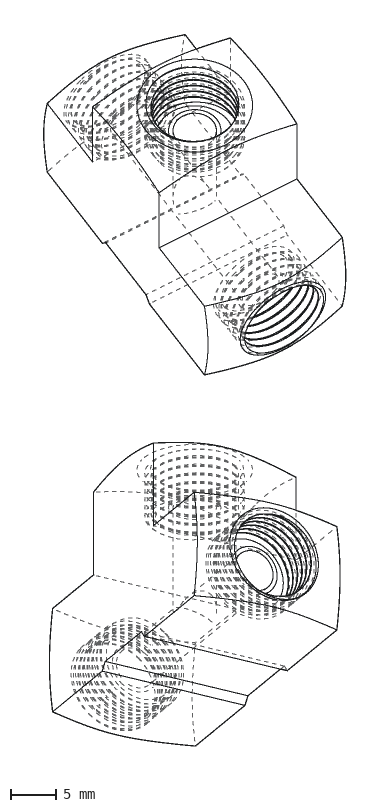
import cadquery as cq
import math

length = 37.0
width = 18.02
height = 24.85
run_height = 12.8
branch_width = 14.0
run_axis_z = run_height / 2

crown_angle = 20.0
run_crown_diameter = 11.17
branch_crown_diameter = 12.85

relief_bottom_width = 9.85
relief_top_width = 8.45
relief_depth = 0.9

bore_diameter = 4.8
thread_minor_diameter = 9.73
thread_major_diameter = 11.1
port_depth = 5.92
turns_in_depth = 5.6
thread_pitch = port_depth / turns_in_depth
crest_width = 0.15
seat_tip_depth = 4.65
seat_tip_diameter = 5.8
seat_base_diameter = 8.75
turns_below_mouth = 7
turns_above_mouth = 1

branch_thread_angle = 209.0
run_thread_angle = 305.0

overlap = 0.055
seam_offset = -120.0


def tee_body():
    run = cq.Workplane("XY").box(length, width, run_height, centered=(True, True, False))
    branch = cq.Workplane("XY").box(branch_width, width, height, centered=(True, True, False))
    relief = (
        cq.Workplane("XZ")
        .moveTo(-relief_bottom_width / 2, 0)
        .lineTo(-relief_top_width / 2, relief_depth)
        .lineTo(relief_top_width / 2, relief_depth)
        .lineTo(relief_bottom_width / 2, 0)
        .close()
        .extrude(width / 2, both=True)
    )
    return run.union(branch).cut(relief)


def crown(flat_diameter, reach):
    """Solid of revolution about Z, coned around a flat top at z = reach."""
    flat_radius = flat_diameter / 2
    outer_radius = length
    drop = (outer_radius - flat_radius) * math.tan(math.radians(crown_angle))
    return (
        cq.Workplane("XZ")
        .moveTo(0, -length)
        .lineTo(outer_radius, -length)
        .lineTo(outer_radius, reach - drop)
        .lineTo(flat_radius, reach)
        .lineTo(0, reach)
        .close()
        .revolve(360, (0, 0), (0, 1))
    )


def thread_groove(mouth_angle):
    """Right-hand V groove whose centre crosses z = 0 at the given angle, ending at the port floor."""
    minor_radius = thread_minor_diameter / 2
    major_radius = thread_major_diameter / 2
    inner_radius = minor_radius - overlap
    groove_half_width = (thread_pitch - crest_width) / 2
    inner_half_width = groove_half_width * (major_radius - inner_radius) / (major_radius - minor_radius)

    start_z = -turns_below_mouth * thread_pitch
    turns = turns_below_mouth + turns_above_mouth
    path = cq.Wire.makeHelix(thread_pitch, turns * thread_pitch, minor_radius)
    groove = (
        cq.Workplane("XZ")
        .moveTo(inner_radius, -inner_half_width)
        .lineTo(major_radius, 0)
        .lineTo(inner_radius, inner_half_width)
        .close()
        .sweep(cq.Workplane(obj=path), isFrenet=True)
    )
    groove = groove.translate((0, 0, start_z)).rotate((0, 0, 0), (0, 0, 1), mouth_angle)
    below_floor = (
        cq.Workplane("XY")
        .workplane(offset=-port_depth)
        .rect(2 * thread_major_diameter, 2 * thread_major_diameter)
        .extrude(-port_depth)
    )
    return groove.cut(below_floor).solids()


def port_core(mouth_angle, bore_length):
    """Port along -Z from a mouth at z = 0, leaving a raised conical seat round the bore."""
    well = (
        cq.Workplane("XZ")
        .moveTo(0, 0)
        .lineTo(thread_minor_diameter / 2, 0)
        .lineTo(thread_minor_diameter / 2, -port_depth)
        .lineTo(seat_base_diameter / 2, -port_depth)
        .lineTo(seat_tip_diameter / 2, -seat_tip_depth)
        .lineTo(0, -seat_tip_depth)
        .close()
        .revolve(360, (0, 0), (0, 1))
    )
    bore = cq.Workplane("XY").circle(bore_diameter / 2).extrude(-bore_length)
    return well.union(bore).rotate((0, 0, 0), (0, 0, 1), mouth_angle + seam_offset)


run_crown = crown(run_crown_diameter, length / 2)
left_crown = run_crown.rotate((0, 0, 0), (0, 1, 0), -90).translate((0, 0, run_axis_z))
right_crown = run_crown.rotate((0, 0, 0), (0, 1, 0), 90).translate((0, 0, run_axis_z))
body = tee_body()
for end_crown in (crown(branch_crown_diameter, height), left_crown, right_crown):
    body = body.intersect(end_crown)

branch_plane = cq.Plane(origin=(0, 0, height))
left_plane = cq.Plane(origin=(-length / 2, 0, run_axis_z), xDir=(0, -1, 0), normal=(-1, 0, 0))
right_plane = cq.Plane(origin=(length / 2, 0, run_axis_z), xDir=(0, 1, 0), normal=(1, 0, 0))
ports = (
    (branch_plane, branch_thread_angle, height - run_axis_z),
    (left_plane, run_thread_angle, length / 2),
    (right_plane, run_thread_angle, length / 2),
)
for plane, mouth_angle, bore_length in ports:
    for cutter in (port_core(mouth_angle, bore_length), thread_groove(mouth_angle)):
        body = body.cut(cq.Workplane(obj=cutter.val().moved(cq.Location(plane))))

result = cq.Workplane(obj=body.solids().val())